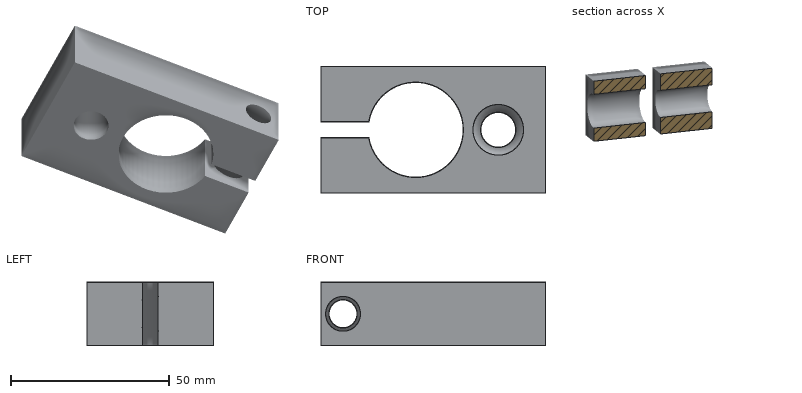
import cadquery as cq

length = 71.0
width = 40.0
height = 20.0

bore_diameter = 29.95
bore_x = 29.95
slot_width = 5.0

mount_x = 56.0
mount_diameter = 11.0
countersink_diameter = 16.0
countersink_angle = 90.0

screw_x = 7.0
clearance_diameter = 11.0
thread_diameter = 8.8

mid_y = width / 2
mid_z = height / 2


def cylinder_along_y(diameter, start_y, end_y):
    """Cylinder on the clamp screw axis between two Y positions."""
    start = cq.Vector(screw_x, start_y, mid_z)
    return cq.Workplane(
        cq.Solid.makeCylinder(diameter / 2, end_y - start_y, start, cq.Vector(0, 1, 0))
    )


block = cq.Workplane("XY").box(length, width, height, centered=False)
top = block.faces(">Z").workplane(origin=(0, 0, height))

body = top.center(bore_x, mid_y).hole(bore_diameter)

slot = cq.Workplane("XY").box(bore_x, slot_width, height, centered=False)
body = body.cut(slot.translate((0, mid_y - slot_width / 2, 0)))

body = (
    body.faces(">Z")
    .workplane(origin=(mount_x, mid_y, height))
    .cskHole(mount_diameter, countersink_diameter, countersink_angle)
)

body = body.cut(cylinder_along_y(clearance_diameter, 0, mid_y))
body = body.cut(cylinder_along_y(thread_diameter, mid_y, width))

result = body